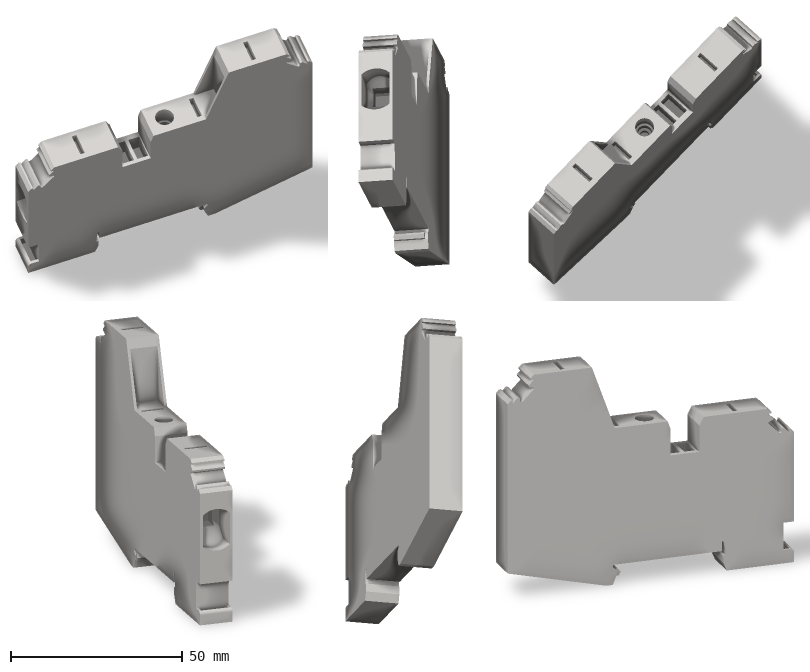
import cadquery as cq
import math

LENGTH = 89.1
HEIGHT = 68.5
THICKNESS = 10.2
SEAM_X = 9.3
MID_X = THICKNESS / 2
END_Y = LENGTH / 2

SHELF_Z = 48.7
TOWER_FRONT_Y = 18.35
SLOPE_FOOT_Y = 11.2
SLOPE_RECESS_Y = 17.3
CHANNEL_BACK_Y = -6.15
CHANNEL_FRONT_Y = -15.1
CHANNEL_FLOOR_Z = 38.05
CHANNEL_BACK_BEVEL = (0.9, 2.6)
CHANNEL_FRONT_BEVEL = (1.3, 2.5)
LATCH_RECESS_Y = -41.2
LATCH_RECESS_TOP_Z = 12.65
LATCH_RECESS_BEND_Z = 10.1
LATCH_RECESS_LEAN = 0.12
LATCH_LIP_Z = 4.2
LATCH_LIP_FILLET = 1.1
LATCH_POCKET_LEFT_X = 0.8
LATCH_POCKET_DEPTH = 2.7
BACK_CORNER_Z = 7.7
RAIL_Z = 6.2

HALF_CORNER = [
    (8.2, 0), (7.1, 1.0), (7.1, 1.5), (8.1, 1.6), (6.5, 3.1), (6.7, 3.7), (7.8, 3.9), (8.1, 4.45),
]

FRONT_HOOK = [
    (-23.6, 0), (-22.5, 2.5), (-22.45, 4.9), (-23.2, 4.9), (-23.2, 6.2), (-22.7, 9.2),
    (-22.2, 9.3), (-22.2, RAIL_Z),
]
BACK_HOOK = [(11.8, RAIL_Z), (11.8, 5.4), (10.6, 4.4), (10.8, 2.7), (11.85, 0), (13.9, 0)]

HOOK_INSET = 0.3
BACK_NUB = [(10.6, 4.8), (10.1, 4.6), (9.3, 3.7), (9.9, 2.7), (10.8, 2.7), (10.6, 4.4)]
FRONT_RELIEF = [(-21.5, 9.3), (-22.2, 9.3), (-22.2, RAIL_Z)]

CAP_WIDTH = 8.5
CAP_OUTER_Y = 33.95
CAP_INNER_Y = 19.8
CAP_THICKNESS = 3.6
TAB_WIDTH = 2.5
TAB_DEPTH = 1.2
INNER_NOTCH_DEPTH = 1.9
INNER_NOTCH_STRAIGHT = 0.7
INNER_NOTCH_MOUTH = 4.6
CAP_SLOT_LENGTH = 6.9
CAP_SLOT_WIDTH = 1.4
CAP_SLOT_DEPTH = 2.7
CAP_SLOT_TAPER = 6.0
MIDDLE_CAP_SHIFT = -17.0

SOCKET_Y = 0.2
SOCKET_RADIUS = 2.8
SOCKET_TOP_DEPTH = 5.35
SOCKET_BOTTOM_DEPTH = 12.5
SOCKET_BORE_RADIUS = 2.1
SOCKET_BORE_DEPTH = 8.0
SOCKET_CORE_RADIUS = 1.3
SOCKET_CORE_DEPTH = 9.8
SOCKET_LEDGE_DEPTH = 8.9
SOCKET_LEDGE_OFFSET = 0.4

POCKET_LEFT_X = 1.7
POCKET_RIGHT_X = 9.0
POCKET_LENGTH = 3.4
POCKET_PITCH = 4.45
FIRST_POCKET_Y = -8.2
POCKET_DEPTH = 5.35

ENTRY_LEFT_X = 0.9
ENTRY_MID_X = (ENTRY_LEFT_X + SEAM_X) / 2
MOUTH_RADIUS = 6.4
MOUTH_Z = 28.9
FUNNEL_Z = 29.85
THROAT_DEPTH = 9.3
THROAT_HEIGHT = 5.8
FUNNEL_FLOOR_ANGLE = 40.0
FUNNEL_SIDE_ANGLE = 44.0
CLAMP_WIDTH = 5.35
CLAMP_DEPTH = 14.3
CLAMP_BEVEL = 0.6


def prism(points, x_from, x_to):
    """Extrude an outline given as (y, z) points between two X planes."""
    return cq.Workplane("YZ").workplane(offset=x_from).polyline(points).close().extrude(x_to - x_from)


def block(x_range, y_range, z_range):
    """Box between pairs of X, Y and Z planes."""
    size = [high - low for low, high in (x_range, y_range, z_range)]
    corner = [low for low, high in (x_range, y_range, z_range)]
    return cq.Workplane("XY").box(*size, centered=False).translate(tuple(corner))


def toothed_corner(side, top_z):
    """Teeth from the top edge down to the end wall on the +Y (side 1) or -Y (side -1) end."""
    mirrored = [(drop, inset) for inset, drop in reversed(HALF_CORNER)]
    return [(side * (END_Y - inset), top_z - drop) for inset, drop in HALF_CORNER + mirrored]


def outline():
    back_run, back_drop = CHANNEL_BACK_BEVEL
    front_run, front_drop = CHANNEL_FRONT_BEVEL
    tower_top = [(TOWER_FRONT_Y, HEIGHT), (SLOPE_FOOT_Y, SHELF_Z)]
    channel = [
        (CHANNEL_BACK_Y + back_run, SHELF_Z),
        (CHANNEL_BACK_Y, SHELF_Z - back_drop),
        (CHANNEL_BACK_Y, CHANNEL_FLOOR_Z),
        (CHANNEL_FRONT_Y, CHANNEL_FLOOR_Z),
        (CHANNEL_FRONT_Y, SHELF_Z - front_drop),
        (CHANNEL_FRONT_Y - front_run, SHELF_Z),
    ]
    latch = [
        (-END_Y, LATCH_RECESS_TOP_Z),
        (LATCH_RECESS_Y - LATCH_RECESS_LEAN, LATCH_RECESS_TOP_Z),
        (LATCH_RECESS_Y, LATCH_RECESS_BEND_Z),
        (LATCH_RECESS_Y, LATCH_LIP_Z),
        (-END_Y, LATCH_LIP_Z),
        (-END_Y, 0),
    ]
    back_corner = [(END_Y, BACK_CORNER_Z)]
    back_teeth = list(reversed(toothed_corner(1, HEIGHT)))
    front_teeth = toothed_corner(-1, SHELF_Z)
    return back_teeth + tower_top + channel + front_teeth + latch + FRONT_HOOK + BACK_HOOK + back_corner


def shell(x_from, x_to):
    """Slice of the full outline with the rounded latch lip and the slope recess for the middle cap."""
    lip_edge = cq.selectors.NearestToPointSelector(((x_from + x_to) / 2, -END_Y, LATCH_LIP_Z))
    body = prism(outline(), x_from, x_to).edges("|X").edges(lip_edge).fillet(LATCH_LIP_FILLET)
    recess = block(
        (MID_X - CAP_WIDTH / 2, MID_X + CAP_WIDTH / 2),
        (SLOPE_FOOT_Y, SLOPE_RECESS_Y),
        (SHELF_Z, HEIGHT),
    )
    return body.cut(recess)


def cap_blank(side, shift, top_z):
    """Notched cap plate without its slot; side -1 turns its outer end toward -Y."""
    outer = CAP_OUTER_Y
    inner = CAP_INNER_Y
    half_right = [
        (TAB_WIDTH / 2, outer - TAB_DEPTH),
        (TAB_WIDTH / 2, outer),
        (CAP_WIDTH / 2, outer),
        (CAP_WIDTH / 2, inner),
        (INNER_NOTCH_MOUTH / 2, inner),
        (TAB_WIDTH / 2, inner + INNER_NOTCH_DEPTH - INNER_NOTCH_STRAIGHT),
        (TAB_WIDTH / 2, inner + INNER_NOTCH_DEPTH),
    ]
    half_left = [(-x, y) for x, y in reversed(half_right)]
    points = [(MID_X + x, side * y + shift) for x, y in half_right + half_left]
    base = cq.Workplane("XY").workplane(offset=top_z - CAP_THICKNESS)
    return base.polyline(points).close().extrude(CAP_THICKNESS)


def cap(side, shift, top_z):
    slot_y = side * (CAP_OUTER_Y + CAP_INNER_Y) / 2 + shift
    slot = (
        cq.Workplane("XY", origin=(MID_X, slot_y, top_z))
        .rect(CAP_SLOT_LENGTH, CAP_SLOT_WIDTH)
        .extrude(-CAP_SLOT_DEPTH, taper=CAP_SLOT_TAPER)
    )
    return cap_blank(side, shift, top_z).cut(slot)


def socket_cylinder(radius, depth):
    """Vertical cylinder hanging from the lower top face at the socket position."""
    return cq.Workplane("XY", origin=(MID_X, SOCKET_Y, SHELF_Z)).circle(radius).extrude(-depth)


def test_socket():
    hole_above = socket_cylinder(SOCKET_RADIUS, SOCKET_TOP_DEPTH)
    bore = socket_cylinder(SOCKET_BORE_RADIUS, SOCKET_BORE_DEPTH)
    core = socket_cylinder(SOCKET_CORE_RADIUS, SOCKET_CORE_DEPTH)
    ledge = block(
        (MID_X - SOCKET_CORE_RADIUS, MID_X + SOCKET_CORE_RADIUS),
        (SOCKET_Y + SOCKET_LEDGE_OFFSET, SOCKET_Y + SOCKET_CORE_RADIUS),
        (SHELF_Z - SOCKET_CORE_DEPTH, SHELF_Z - SOCKET_LEDGE_DEPTH),
    )
    plug = socket_cylinder(SOCKET_RADIUS, SOCKET_BOTTOM_DEPTH)
    return plug.cut(hole_above).cut(bore).cut(core.cut(ledge))


def bridge_pockets():
    pockets = cq.Workplane("XY")
    for index in range(2):
        middle_y = FIRST_POCKET_Y - index * POCKET_PITCH
        pockets = pockets.add(block(
            (POCKET_LEFT_X, POCKET_RIGHT_X),
            (middle_y - POCKET_LENGTH / 2, middle_y + POCKET_LENGTH / 2),
            (CHANNEL_FLOOR_Z - POCKET_DEPTH, CHANNEL_FLOOR_Z),
        ))
    return pockets.combine()


def latch_pocket():
    return block(
        (LATCH_POCKET_LEFT_X, SEAM_X),
        (-END_Y + LATCH_LIP_FILLET, LATCH_RECESS_Y),
        (LATCH_LIP_Z - LATCH_POCKET_DEPTH, LATCH_LIP_Z),
    )


def wire_entry():
    floor_slope = math.tan(math.radians(FUNNEL_FLOOR_ANGLE))
    side_slope = math.tan(math.radians(FUNNEL_SIDE_ANGLE))
    mouth_width = SEAM_X - ENTRY_LEFT_X
    funnel_depth = THROAT_DEPTH + (mouth_width - CLAMP_WIDTH) / 2 / side_slope

    def funnel_size(depth):
        before_throat = THROAT_DEPTH - depth
        return (mouth_width + 2 * side_slope * before_throat, THROAT_HEIGHT + 2 * floor_slope * before_throat)

    axis = cq.Workplane("XZ", origin=(ENTRY_MID_X, -END_Y, FUNNEL_Z))
    funnel = (
        axis.rect(*funnel_size(0)).workplane(offset=-funnel_depth).rect(*funnel_size(funnel_depth)).loft()
    )
    mouth_axis = cq.Workplane("XZ", origin=(ENTRY_MID_X, -END_Y, MOUTH_Z))
    mouth = mouth_axis.circle(MOUTH_RADIUS).extrude(-funnel_depth)
    flat_sides = block((ENTRY_LEFT_X, SEAM_X), (-END_Y, -END_Y + funnel_depth), (0, HEIGHT))
    clamp_hole = (
        axis.workplane(offset=-THROAT_DEPTH)
        .rect(CLAMP_WIDTH, THROAT_HEIGHT)
        .extrude(THROAT_DEPTH - CLAMP_DEPTH)
        .faces(">Y").edges(">Z").chamfer(CLAMP_BEVEL)
    )
    return mouth.intersect(flat_sides).intersect(funnel).union(clamp_hole)


CAP_PLACES = [
    (1, 0, HEIGHT),
    (1, MIDDLE_CAP_SHIFT, SHELF_Z),
    (-1, 0, SHELF_Z),
]

housing = (
    shell(0, SEAM_X)
    .union(prism(BACK_NUB, HOOK_INSET, SEAM_X))
    .cut(prism(FRONT_RELIEF, 0, HOOK_INSET))
    .cut(socket_cylinder(SOCKET_RADIUS, SOCKET_BOTTOM_DEPTH))
    .cut(bridge_pockets())
    .cut(latch_pocket())
    .cut(wire_entry())
)
cover = shell(SEAM_X, THICKNESS)
for place in CAP_PLACES:
    housing = housing.cut(cap_blank(*place))
    cover = cover.cut(cap_blank(*place))

caps = [cap(*place) for place in CAP_PLACES]
socket = test_socket()

result = cq.Compound.makeCompound(
    [housing.val(), cover.val(), socket.val()] + [plate.val() for plate in caps]
)